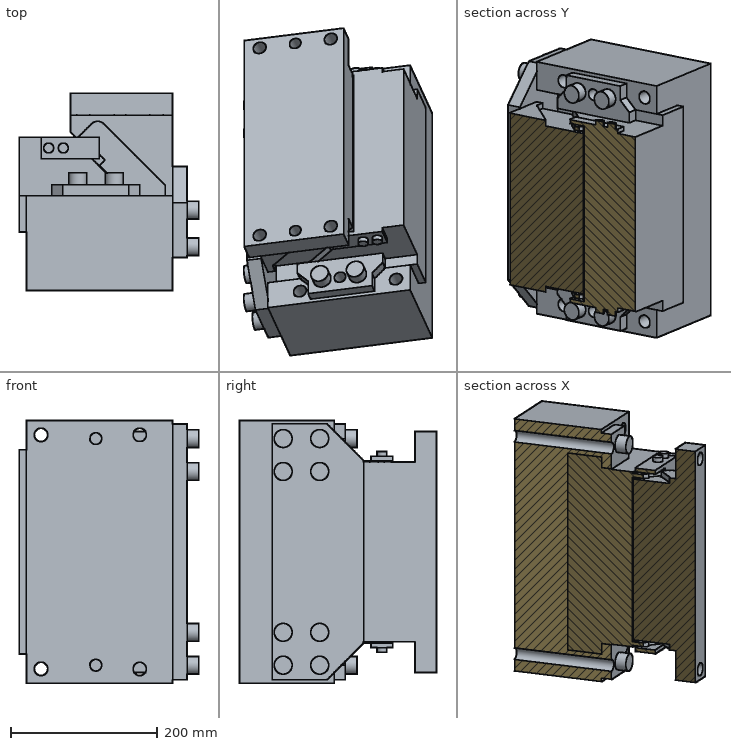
import cadquery as cq


base_length = 200.0
base_height = 130.0
base_half_width = 180.0
slot_floor = 80.0
slot_half_width = 140.0

mount_hole_dia = 18.0
mount_hole_x = (20.0, 155.0)
mount_hole_z = 160.0
dowel_dia = 16.0
dowel_x = 95.0
dowel_z = 155.0

cap_dia = 24.5
cap_height = 16.0

keeper_thickness = 15.0
keeper_inner_z = 125.0
keeper_outer_z = 175.0
keeper_flare = 15.0
keeper_narrow_length = 90.0
keeper_screw_spacing = 50.0

end_plate_thickness = 20.0
end_plate_bottom = 45.0
end_plate_top = 170.0
end_plate_half_width = keeper_outer_z
end_plate_chamfer = 50.0
end_plate_screw_y = (60.0, 110.0)
end_plate_screw_z = (110.0, 155.0)

slide_front = -10.0
slide_top = 210.0
slide_half_width = 125.0
slide_face_sum = 270.0

hook_plate_left = 20.0
hook_plate_right = 100.0
hook_plate_height = 30.0
hook_plate_thickness = 6.0
hook_screw_dia = 13.5
hook_screw_height = 6.5
hook_screw_x = (30.5, 50.5)
hook_face_sum = 286.0
hook_lug_inner_z = 117.0
hook_lug_outer_z = 123.0
hook_lug_low_difference = 71.0
hook_lug_high_difference = 110.0

driver_left = 60.0
driver_top = 270.0
driver_half_width = 123.0
driver_face_sum = 271.0
driver_nose_sum = 277.0
flange_thickness = 30.0
flange_half_width = 165.0
flange_hole_z = 150.0
flange_holes = ((78.0, 18.0), (128.0, 16.0), (178.0, 18.0))

pocket_depth = 8.0
pocket_back_sum = 334.0
pocket_side_difference = 139.0
pocket_right = 190.0
pocket_corner_radius = 12.0


def slope_point(total, difference):
    """Point where X + Y = total and Y - X = difference."""
    return ((total - difference) / 2, (total + difference) / 2)


def prism(points, z_low, z_high):
    """XY outline extruded from z_low to z_high."""
    return cq.Workplane("XY").workplane(offset=z_low).polyline(points).close().extrude(z_high - z_low)


def block(x_low, x_high, y_low, y_high, half_width):
    """Box centred on Z = 0."""
    return prism([(x_low, y_low), (x_high, y_low), (x_high, y_high), (x_low, y_high)], -half_width, half_width)


def rod(x, y, z, direction, diameter, length):
    """Cylinder starting at (x, y, z) and running along direction."""
    return cq.Workplane(
        cq.Solid.makeCylinder(diameter / 2, length, cq.Vector(x, y, z), cq.Vector(*direction))
    )


def both_ends(feature):
    """The feature and its mirror image across Z = 0."""
    return feature.union(feature.mirror("XY"))


def make_keeper():
    half_narrow = keeper_narrow_length / 2
    half_wide = half_narrow + keeper_flare
    flare_end_z = slot_half_width + keeper_flare
    right_side = [
        (half_wide, keeper_inner_z),
        (half_wide, slot_half_width),
        (half_narrow, flare_end_z),
        (half_narrow, keeper_outer_z),
    ]
    left_side = [(-x, z) for x, z in reversed(right_side)]
    keeper = (
        cq.Workplane("XZ", origin=(dowel_x, base_height, 0))
        .polyline(right_side + left_side)
        .close()
        .extrude(-keeper_thickness)
    )
    for side in (-1, 1):
        screw_x = dowel_x + side * keeper_screw_spacing / 2
        keeper = keeper.union(
            rod(screw_x, base_height + keeper_thickness, dowel_z, (0, 1, 0), cap_dia, cap_height)
        )
    return keeper


def make_end_plate():
    right = base_length + end_plate_thickness
    plate = (
        block(base_length, right, end_plate_bottom, end_plate_top, end_plate_half_width)
        .edges("|X and >Y")
        .chamfer(end_plate_chamfer)
    )
    for y in end_plate_screw_y:
        for z in end_plate_screw_z:
            plate = plate.union(both_ends(rod(right, y, z, (1, 0, 0), cap_dia, cap_height)))
    return plate


def make_base():
    base = block(0, base_length, 0, base_height, base_half_width)
    base = base.cut(block(0, base_length, slot_floor, base_height, slot_half_width))
    base = base.union(both_ends(make_keeper())).union(make_end_plate())
    for x in mount_hole_x:
        base = base.cut(both_ends(rod(x, 0, mount_hole_z, (0, 1, 0), mount_hole_dia, base_height)))
    dowel_length = base_height + keeper_thickness
    return base.cut(both_ends(rod(dowel_x, 0, dowel_z, (0, 1, 0), dowel_dia, dowel_length)))


def make_hook():
    bottom = slide_top - hook_plate_height
    outer_z = slide_half_width + hook_plate_thickness
    hook = prism(
        [
            (hook_plate_left, bottom),
            (hook_plate_right, bottom),
            (hook_plate_right, slide_top),
            (hook_plate_left, slide_top),
        ],
        slide_half_width,
        outer_z,
    )
    lug = prism(
        [
            slope_point(slide_face_sum, hook_lug_low_difference),
            slope_point(hook_face_sum, hook_lug_low_difference),
            slope_point(hook_face_sum, hook_lug_high_difference),
            slope_point(slide_face_sum, hook_lug_high_difference),
        ],
        hook_lug_inner_z,
        hook_lug_outer_z,
    )
    hook = hook.union(lug)
    for x in hook_screw_x:
        screw_y = slide_top - hook_plate_height / 2
        hook = hook.union(rod(x, screw_y, outer_z, (0, 0, 1), hook_screw_dia, hook_screw_height))
    return hook


def make_slide():
    key_right = slide_face_sum - base_height
    key = block(slide_front, key_right, slot_floor, base_height, slot_half_width)
    wedge = prism(
        [
            (slide_front, base_height),
            (key_right, base_height),
            (slide_face_sum - slide_top, slide_top),
            (slide_front, slide_top),
        ],
        -slide_half_width,
        slide_half_width,
    )
    return key.union(wedge).union(both_ends(make_hook()))


def make_pocket():
    outline = [
        slope_point(slide_face_sum, pocket_side_difference),
        slope_point(pocket_back_sum, pocket_side_difference),
        (pocket_right, pocket_back_sum - pocket_right),
        (pocket_right, base_height),
        (slide_face_sum - base_height, base_height),
    ]
    pocket = prism(outline, driver_half_width - pocket_depth, driver_half_width)
    return pocket.edges("|Z and >Y").fillet(pocket_corner_radius)


def make_driver():
    body = prism(
        [
            (driver_left, driver_top),
            (driver_left, driver_nose_sum - driver_left),
            slope_point(driver_nose_sum, pocket_side_difference),
            slope_point(driver_face_sum, pocket_side_difference),
            (driver_face_sum - base_height, base_height),
            (base_length, base_height),
            (base_length, driver_top),
        ],
        -driver_half_width,
        driver_half_width,
    )
    flange_bottom = driver_top - flange_thickness
    driver = body.union(block(driver_left, base_length, flange_bottom, driver_top, flange_half_width))
    driver = driver.cut(both_ends(make_pocket()))
    for x, diameter in flange_holes:
        hole = rod(x, flange_bottom, flange_hole_z, (0, 1, 0), diameter, flange_thickness)
        driver = driver.cut(both_ends(hole))
    return driver


base = make_base()
slide = make_slide()
driver = make_driver()

result = cq.Compound.makeCompound([base.val(), slide.val(), driver.val()])